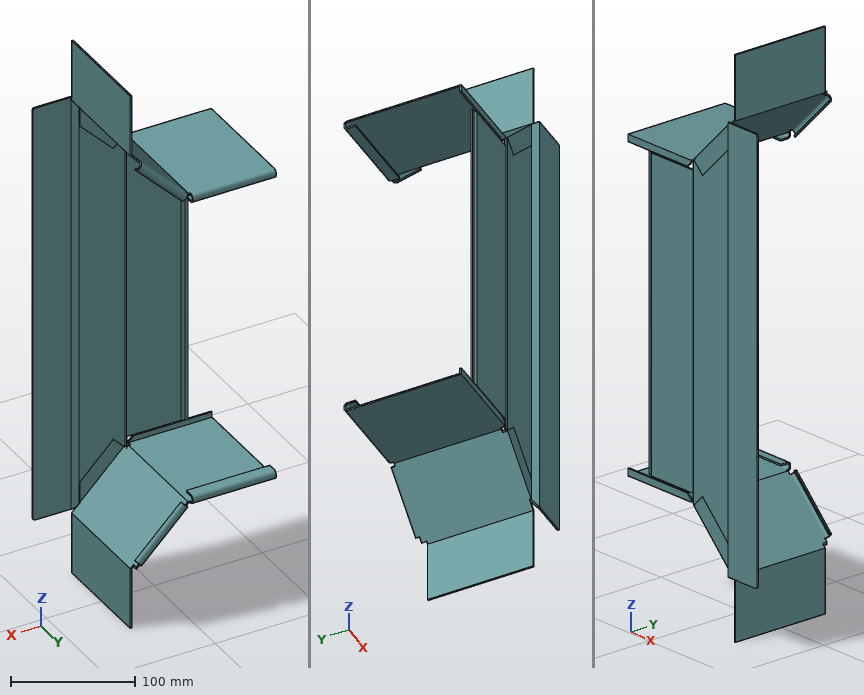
import cadquery as cq
import math

sheet = 1.5
rear_bend_radius = 3.5
total_height = 508.5

web_level = 4.5
side_step = 0.5
side_level = web_level + side_step
lip_level = side_level + sheet

back_y = 111.5
shelf_top = 148.0
ramp_start_x = 79.0
ramp_angle = 45.0
tab_x = 128.5
tab_front_y = web_level + sheet
tab_back_y = 102.0
ramp_top = shelf_top + (tab_x - ramp_start_x) * math.tan(math.radians(ramp_angle))

front_flange_depth = 6.5
ramp_flange_depth = 15.0
hook_depth = 8.0
shelf_hook_end_y = 100.5
ramp_hook_end_y = back_y - rear_bend_radius
shelf_flange_end = 77.5
flange_miter = 4.5
ramp_flange_start = 2.5
ramp_flange_end = 63.0

relief_depth = 4.5
front_relief_end_x = 81.0
tab_relief_x = 127.0

panel_right_x = 163.0
panel_top = 196.5
panel_side_top = 140.0
corner_radius = 2.0
lip_left_x = 23.5
lip_joggle = (26.0, 28.5)
side_joggle = (79.5, 80.5)
edge_joggle = (122.5, 127.5)


def block(x_range, y_range, z_range):
    """Rectangular block between the given limits."""
    return (
        cq.Workplane("XY")
        .box(
            x_range[1] - x_range[0],
            y_range[1] - y_range[0],
            z_range[1] - z_range[0],
            centered=False,
        )
        .translate((x_range[0], y_range[0], z_range[0]))
    )


def flanged_channel(start, end, flange_depth, hook_end_y):
    """Channel along X with its web at Z = 0, a front flange and a rear flange with a hook."""
    x_range = (start, end)
    hook = (
        block(x_range, (web_level, back_y), (-hook_depth, 0))
        .edges("|X and >Y").fillet(rear_bend_radius)
    )
    hook_inside = (
        block(x_range, (web_level, back_y - sheet), (sheet - hook_depth, -sheet))
        .edges("|X and >Y").fillet(rear_bend_radius - sheet)
    )
    hook_opening = block(x_range, (web_level, hook_end_y), (-hook_depth, -sheet))
    front_flange = block(x_range, (web_level, tab_front_y), (-flange_depth, 0))
    return hook.cut(hook_inside).cut(hook_opening).union(front_flange)


def shelf():
    """Horizontal shelf, its front flange cut at 45 degrees beside the ramp."""
    miter = (
        cq.Workplane("XZ")
        .polyline([
            (shelf_flange_end, -front_flange_depth),
            (shelf_flange_end, flange_miter - front_flange_depth),
            (shelf_flange_end - flange_miter, -front_flange_depth),
        ])
        .close()
        .extrude(-tab_front_y)
    )
    return (
        flanged_channel(0, shelf_flange_end, front_flange_depth, shelf_hook_end_y)
        .cut(miter)
        .translate((0, 0, shelf_top))
    )


def ramp():
    """Inclined channel; its front flange stops at the edge joggle of the panel."""
    inclined = (
        flanged_channel(ramp_flange_start, ramp_flange_end, ramp_flange_depth, ramp_hook_end_y)
        .rotate((0, 0, 0), (0, 1, 0), -ramp_angle)
        .translate((ramp_start_x, 0, shelf_top))
    )
    beyond_joggle = block((edge_joggle[0], panel_right_x), (0, tab_front_y), (0, total_height))
    return inclined.cut(beyond_joggle)


def bracket_strip():
    """Shelf, ramp and end tab bent from one strip, without flanges."""
    bend_shift = sheet * math.tan(math.radians(ramp_angle / 2))
    strip_back_y = back_y - relief_depth
    strip = (
        cq.Workplane("XZ", origin=(0, tab_front_y, 0))
        .polyline([
            (0, shelf_top),
            (ramp_start_x, shelf_top),
            (tab_x, ramp_top),
            (tab_x, total_height / 2),
            (tab_x + sheet, total_height / 2),
            (tab_x + sheet, ramp_top - bend_shift),
            (ramp_start_x + bend_shift, shelf_top - sheet),
            (0, shelf_top - sheet),
        ])
        .close()
        .extrude(tab_front_y - strip_back_y)
    )
    behind_tab = block((tab_relief_x, panel_right_x), (tab_back_y, back_y), (0, total_height))
    return strip.cut(behind_tab)


def front_relief():
    """Notch at the front end of the bend between shelf and ramp."""
    return block(
        (shelf_flange_end, front_relief_end_x),
        (tab_front_y, web_level + relief_depth),
        (shelf_top - hook_depth, ramp_top),
    )


def make_upper_bracket():
    return bracket_strip().union(shelf()).union(ramp()).cut(front_relief())


def panel_sheet():
    """Full-height joggled sheet of the panel, before its ends are trimmed."""
    joggles = [
        (lip_joggle, lip_level, side_level),
        (side_joggle, side_level, web_level),
        (edge_joggle, web_level, 0),
    ]
    front = [(lip_left_x, lip_level)]
    back = [(lip_left_x, lip_level + sheet)]
    for (start, end), left_level, right_level in joggles:
        slope = math.atan2(left_level - right_level, end - start)
        bend_shift = sheet * math.tan(slope / 2)
        front += [(start, left_level), (end, right_level)]
        back += [(start + bend_shift, left_level + sheet), (end + bend_shift, right_level + sheet)]
    front.append((panel_right_x, 0))
    back.append((panel_right_x, sheet))
    return (
        cq.Workplane("XY", origin=(0, 0, -panel_top))
        .polyline(front + back[::-1])
        .close()
        .extrude(2 * panel_top)
        .edges("|Y and >X").fillet(corner_radius)
    )


def ramp_point(along, depth):
    """Point in XZ at a distance along the ramp and a depth under its outer face."""
    angle = math.radians(ramp_angle)
    return (
        ramp_start_x + along * math.cos(angle) + depth * math.sin(angle),
        shelf_top + along * math.sin(angle) - depth * math.cos(angle),
    )


def panel_end_cut():
    """Waste above the upper end of the panel, including the notch for the ramp flange."""
    angle = math.radians(ramp_angle)
    joggle_x = edge_joggle[0]
    ramp_z_at_joggle = shelf_top + (joggle_x - ramp_start_x) * math.tan(angle)
    panel_top_on_ramp = ramp_start_x + (panel_top - shelf_top) / math.tan(angle)
    return (
        cq.Workplane("XZ")
        .polyline([
            (0, panel_side_top),
            (side_joggle[0], panel_side_top),
            (side_joggle[0], shelf_top),
            ramp_point(ramp_flange_start, 0),
            ramp_point(ramp_flange_start, ramp_flange_depth),
            (joggle_x, ramp_z_at_joggle - ramp_flange_depth / math.cos(angle)),
            (joggle_x, ramp_z_at_joggle),
            (panel_top_on_ramp, panel_top),
            (0, panel_top),
        ])
        .close()
        .extrude(-back_y)
    )


def make_panel():
    end_cut = panel_end_cut()
    return panel_sheet().cut(end_cut).cut(end_cut.mirror("XY"))


panel = make_panel()
upper_bracket = make_upper_bracket()
brackets = [upper_bracket, upper_bracket.mirror("XY")]

bodies = [panel, *brackets]
result = cq.Compound.makeCompound([solid for body in bodies for solid in body.solids().vals()])